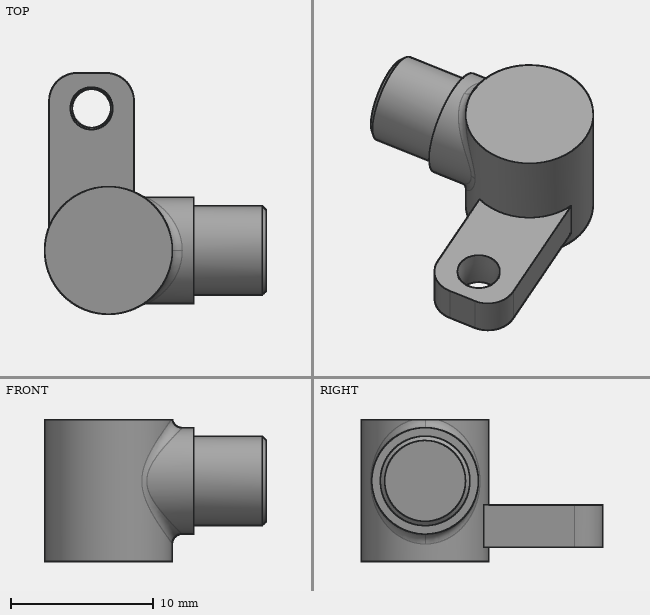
import cadquery as cq

overall_length_y = 17

barrel_diameter = 9.0
barrel_height = 10.0

branch_axis_height = 5.68
collar_diameter = 7.5
collar_end = 6.02
collar_fillet = 0.68
spigot_diameter = 6.3
spigot_end = 11.12
spigot_chamfer = 0.3

lug_width = 6.0
lug_thickness = 3.0
lug_bottom = 1.0
lug_center_x = -1.19
lug_end = overall_length_y - barrel_diameter / 2
lug_corner_radius = 2.0

eyelet_waist_diameter = 2.7
eyelet_mouth_diameter = 3.0
eyelet_y = 10.0


def cylinder_along_x(diameter, start, end):
    """Solid cylinder on the branch axis between two X positions."""
    return (
        cq.Workplane("YZ", origin=(start, 0, branch_axis_height))
        .circle(diameter / 2)
        .extrude(end - start)
    )


def make_barrel_with_collar():
    """Barrel and collar, with a fillet along the curve where they meet."""
    trim_height = 2 * collar_fillet
    barrel = cq.Workplane("XY").circle(barrel_diameter / 2).extrude(barrel_height + trim_height)
    collar = cylinder_along_x(collar_diameter, 0, collar_end)
    joint_box = cq.selectors.BoxSelector(
        (0, -collar_diameter, collar_fillet),
        (collar_end - collar_fillet, collar_diameter, barrel_height),
    )
    joined = barrel.union(collar).edges(joint_box).edges("not %LINE").fillet(collar_fillet)
    trim = (
        cq.Workplane("XY", origin=(0, 0, barrel_height))
        .rect(2 * barrel_diameter, 2 * barrel_diameter)
        .extrude(2 * trim_height)
    )
    return joined.cut(trim)


def make_lug():
    """Flat lug from the barrel axis to its rounded far end."""
    return (
        cq.Workplane("XY", origin=(lug_center_x, lug_end / 2, lug_bottom))
        .rect(lug_width, lug_end)
        .extrude(lug_thickness)
        .edges("|Z and >Y")
        .fillet(lug_corner_radius)
    )


def make_eyelet_cutter():
    """Hourglass cutter through the lug, turned about a vertical axis."""
    mouth_radius = eyelet_mouth_diameter / 2
    waist_radius = eyelet_waist_diameter / 2
    return (
        cq.Workplane("XZ", origin=(lug_center_x, eyelet_y, lug_bottom))
        .lineTo(mouth_radius, 0)
        .threePointArc((waist_radius, lug_thickness / 2), (mouth_radius, lug_thickness))
        .lineTo(0, lug_thickness)
        .close()
        .revolve(360, (0, 0, 0), (0, 1, 0))
    )


def make_housing():
    """Barrel, collar and pierced lug as one solid."""
    return make_barrel_with_collar().union(make_lug()).cut(make_eyelet_cutter())


def make_spigot():
    """Plain spigot seated on the collar face, chamfered at its free end."""
    return (
        cylinder_along_x(spigot_diameter, collar_end, spigot_end)
        .faces(">X")
        .chamfer(spigot_chamfer)
    )


housing = make_housing()
spigot = make_spigot()

result = cq.Compound.makeCompound([housing.val(), spigot.val()])